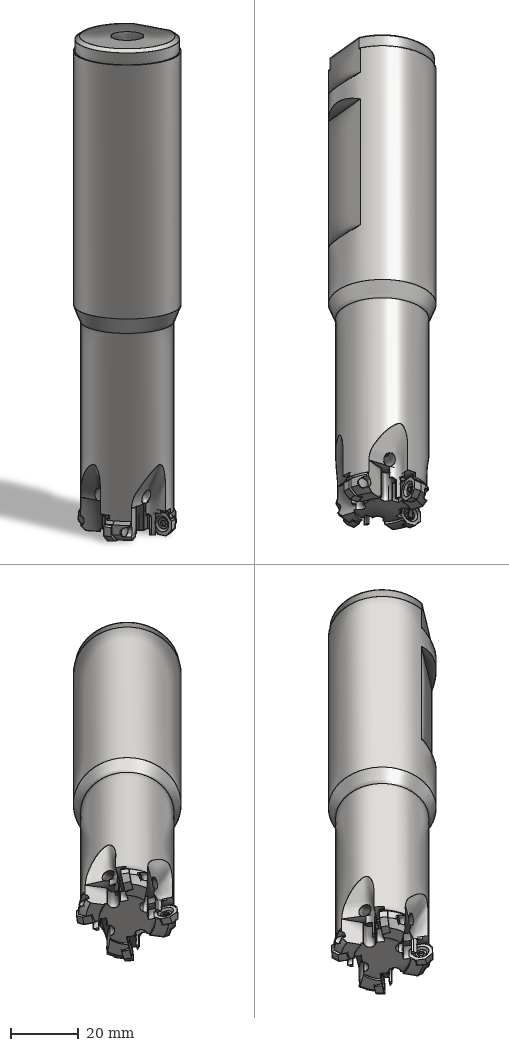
import cadquery as cq
import math


length = 151.5
shank_radius = 15.9
neck_radius = 13.8
collar_radius = 15.5
collar_height = 4.5
collar_chamfer_run = 1.4
collar_chamfer_height = 0.9
cone_top = 69.2
cone_bottom = 65.1
cone_foot_height = 0.9
cone_foot_radius = 14.2

flat_offset = 13.3
flat_ramp_run = 1.8
flat_top_chamfer = 0.9
lower_flat_bottom = 86.3
lower_flat_top = 131.7
upper_flat_bottom = 137.0

bore_radius = 3.3
bore_mouth_radius = 4.8
bore_mouth_depth = 3.8
bore_bottom = 21.2
coolant_radius = 1.8
coolant_exit_x = -3.3
coolant_exit_z = 12.9
coolant_overrun = 1.3

nose_bottom = 0.5
nose_chamfer = 2.1
nose_radius = 14.4
nose_taper_bottom = 5.6
nose_taper_top = 6.7
core_recess_radius = 8.3
core_recess_top = 1.2

tooth_count = 4
flute_floor = 9.0
flute_wall_x = 0.0
flute_corner_radius = 3.2
flute_arc_bottom = 10.6
flute_bend = 13.2
flute_runout_top = 23.6
flute_overrun = 2.7
foot_slope_left = -10.6
foot_slope_right = -4.5
foot_slope_floor = 6.4

insert_sides = 8
insert_across_flats = 7.0
insert_thickness = 2.4
insert_taper = 7.0
insert_face = 1.8
cutting_radius = 14.7
insert_center_radius = cutting_radius - insert_across_flats / 2
insert_center_z = insert_across_flats / 2
screw_radius = 1.7
screw_end = 7.0
head_radius = 2.4
head_recess_depth = 0.6
socket_width = 1.8
socket_depth = 0.8

face_relief_left = -0.5
face_relief_floor = 6.0
face_relief_top = 7.1
arch_left = -3.6
arch_right = -1.2
arch_floor = 5.1
arch_corner_chamfer = 0.9
trough_radius = 1.8
trough_x = -2.5
trough_top = 10.6
insert_gap_right = 3.0
insert_gap_top = 8.2


def at_each_tooth(shape):
    """Copies of a shape turned about the tool axis, one per tooth."""
    pitch = 360.0 / tooth_count
    return [shape.rotate((0, 0, 0), (0, 0, 1), pitch * i) for i in range(tooth_count)]


def box_between(x_range, y_range, z_range):
    """Box given by its limits along each axis."""
    sizes = [r[1] - r[0] for r in (x_range, y_range, z_range)]
    corner = (x_range[0], y_range[0], z_range[0])
    return cq.Workplane("XY").box(*sizes, centered=False).translate(corner)


def make_blank():
    """Turned body: nose, neck, cone, shank and end collar, with the axial bore."""
    outer = [
        (0, core_recess_top),
        (core_recess_radius, core_recess_top),
        (core_recess_radius, nose_bottom),
        (nose_radius - nose_chamfer, nose_bottom),
        (nose_radius, nose_bottom + nose_chamfer),
        (nose_radius, nose_taper_bottom),
        (neck_radius, nose_taper_top),
        (neck_radius, cone_bottom - cone_foot_height),
        (cone_foot_radius, cone_bottom),
        (shank_radius, cone_top),
        (shank_radius, length - collar_height),
        (collar_radius, length - collar_height),
        (collar_radius, length - collar_chamfer_height),
        (collar_radius - collar_chamfer_run, length),
        (bore_mouth_radius, length),
        (bore_radius, length - bore_mouth_depth),
        (bore_radius, bore_bottom),
        (0, bore_bottom),
    ]
    return cq.Workplane("XZ").polyline(outer).close().revolve(360, (0, 0, 0), (0, 1, 0))


def make_flat_cuts():
    """Two flats on the +Y side, leaving a raised rib between them."""
    rim = shank_radius
    lower = [
        (rim, lower_flat_bottom),
        (flat_offset, lower_flat_bottom + flat_ramp_run),
        (flat_offset, lower_flat_top - flat_ramp_run),
        (rim, lower_flat_top),
    ]
    upper = [
        (rim, upper_flat_bottom),
        (flat_offset, upper_flat_bottom + flat_ramp_run),
        (flat_offset, length - flat_top_chamfer),
        (flat_offset - flat_top_chamfer, length),
        (rim, length),
    ]
    cuts = cq.Workplane("YZ").polyline(lower).close().extrude(shank_radius, both=True)
    return cuts.union(cq.Workplane("YZ").polyline(upper).close().extrude(shank_radius, both=True))


def make_flute():
    """Chip space ahead of the -Y tooth: flat floor, bend and ramp out to the neck."""
    ramp_angle = math.atan2(neck_radius - flute_floor, flute_runout_top - flute_bend)
    tangent = flute_bend - flute_arc_bottom
    bend_radius = tangent / math.tan(ramp_angle / 2)
    arc_center_y = -flute_floor - bend_radius

    def arc_point(angle):
        return (
            arc_center_y + bend_radius * math.cos(angle),
            flute_arc_bottom + bend_radius * math.sin(angle),
        )

    outside = neck_radius + flute_overrun
    ramp_slope = (flute_runout_top - flute_bend) / (neck_radius - flute_floor)
    ramp_end_z = flute_bend + ramp_slope * (outside - flute_floor)
    profile = (
        cq.Workplane("YZ", origin=(flute_wall_x, 0, 0))
        .moveTo(-flute_floor, 0)
        .lineTo(-flute_floor, flute_arc_bottom)
        .threePointArc(arc_point(ramp_angle / 2), arc_point(ramp_angle))
        .lineTo(-outside, ramp_end_z)
        .lineTo(-outside, 0)
        .close()
    )
    flute = profile.extrude(-outside)
    margin = 0.2
    wall_foot = cq.selectors.BoxSelector(
        (flute_wall_x - margin, -outside + margin, margin),
        (flute_wall_x + margin, -flute_floor + margin, ramp_end_z),
    )
    return flute.edges(wall_foot).fillet(flute_corner_radius)


def make_flute_foot():
    """Lower part of the flute floor, which falls away toward the -Y tooth."""
    outline = [
        (foot_slope_left, -flute_floor),
        (foot_slope_right, -foot_slope_floor),
        (flute_wall_x, -foot_slope_floor),
        (flute_wall_x, -flute_floor),
    ]
    return cq.Workplane("XY").polyline(outline).close().extrude(flute_arc_bottom)


def make_face_relief():
    """Pocket that bares the face of the -Y insert, and the gap above that insert."""
    pocket = box_between(
        (face_relief_left, insert_face),
        (-cutting_radius, -face_relief_floor),
        (0, face_relief_top),
    )
    gap = box_between(
        (flute_wall_x, insert_gap_right),
        (-cutting_radius, -flute_floor),
        (face_relief_top, insert_gap_top),
    )
    return pocket.union(gap)


def make_chip_trough():
    """Round trough at the deep side of the flute foot, with a deeper recess of bevelled top below it."""
    trough = (
        cq.Workplane("XY", origin=(trough_x, -foot_slope_floor, 0))
        .circle(trough_radius)
        .extrude(trough_top)
    )
    arch = box_between((arch_left, arch_right), (-cutting_radius, -arch_floor), (0, face_relief_top))
    arch = arch.faces(">Z").edges("|Y").chamfer(arch_corner_chamfer)
    return trough.union(arch)


def make_coolant_hole():
    """Slanted hole from the foot of the bore to the flute ahead of the -Y tooth."""
    start = cq.Vector(0, 0, bore_bottom)
    path = cq.Vector(coolant_exit_x, -flute_floor, coolant_exit_z) - start
    hole = cq.Solid.makeCylinder(coolant_radius, path.Length * coolant_overrun, start, path)
    return cq.Workplane(hole)


def octagon_at_tooth(plane_x, across_flats):
    """Octagon outline centred on the -Y insert, with two flats level, in a plane of constant X."""
    corner_diameter = across_flats / math.cos(math.pi / insert_sides)
    plane = cq.Workplane("YZ", origin=(plane_x, -insert_center_radius, insert_center_z))
    return plane.transformed(rotate=(0, 0, 180 / insert_sides)).polygon(insert_sides, corner_diameter)


def make_insert_blank():
    """Octagonal tapered plate with its screw shank, before the head is cut, at the -Y tooth, facing -X."""
    plate = octagon_at_tooth(insert_face, insert_across_flats).extrude(insert_thickness, taper=insert_taper)
    face_plane = cq.Workplane("YZ", origin=(insert_face, -insert_center_radius, insert_center_z))
    screw = face_plane.circle(screw_radius).extrude(screw_end - insert_face)
    return plate.union(screw)


def make_screw_hole():
    """Hole through the nose for the -Y screw, open beyond the end of the screw."""
    start = cq.Workplane("YZ", origin=(screw_end, -insert_center_radius, insert_center_z))
    return start.circle(screw_radius).extrude(nose_radius - screw_end)


def make_insert():
    """Insert with the countersunk screw head and its hexagonal socket."""
    center = (insert_face, -insert_center_radius, insert_center_z)
    face_plane = cq.Workplane("YZ", origin=center)
    head_cone = cq.Solid.makeCone(
        head_radius, screw_radius, head_recess_depth, cq.Vector(*center), cq.Vector(1, 0, 0)
    )
    socket_corners = socket_width / math.cos(math.pi / 6)
    socket = face_plane.polygon(6, socket_corners).extrude(head_recess_depth + socket_depth)
    return make_insert_blank().cut(cq.Workplane(head_cone)).cut(socket)


def make_holder():
    """Turned blank with the clamping flats and, at every tooth, the flute, coolant hole and seat."""
    holder = make_blank().cut(make_flat_cuts())
    tooth_cuts = [
        make_flute(),
        make_flute_foot(),
        make_face_relief(),
        make_chip_trough(),
        make_coolant_hole(),
        make_insert_blank(),
        make_screw_hole(),
    ]
    for feature in tooth_cuts:
        for cutter in at_each_tooth(feature):
            holder = holder.cut(cutter)
    return holder


holder = make_holder()
inserts = at_each_tooth(make_insert())

result = cq.Compound.makeCompound([holder.val(), *[insert.val() for insert in inserts]])